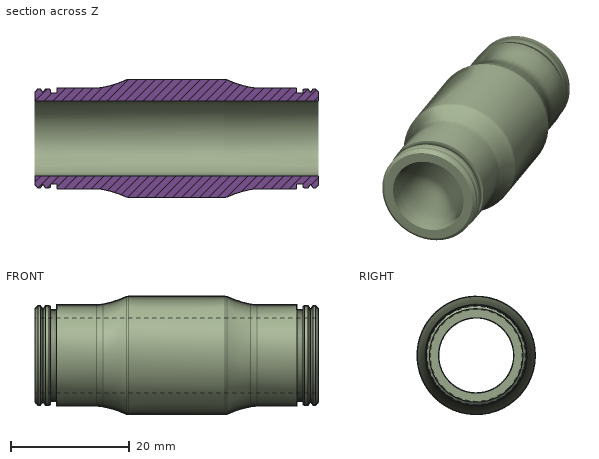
import cadquery as cq

length = 48.0
bore_radius = 6.35
body_radius = 10.05
neck_radius = 8.6
ring_radius = 8.45
end_face_radius = 7.9
valley_radius = 7.83
groove_radius = 7.8
ring_back_radius = 8.3

first_ring_start = 0.5
first_ring_end = 0.9
valley_position = 1.35
second_ring_start = 1.8
second_ring_end = 2.35
groove_start = 2.65
groove_end = 3.65
neck_end = 10.4
flare_start = 11.47
flare_end = 15.5
body_start = 15.85

flare_start_radius = 8.7
flare_end_radius = 10.0
flare_sag = 0.15
blend_sag = 0.015


def sagged_middle(start, end, sag):
    """Point midway between two profile points, moved toward the axis."""
    return ((start[0] + end[0]) / 2, (start[1] + end[1]) / 2 - sag)


def end_section():
    """Revolved end of the sleeve out to the body, with its end face at X = -length / 2."""
    end_x = -length / 2

    def point(distance, radius):
        return (end_x + distance, radius)

    neck_point = point(neck_end, neck_radius)
    flare_first = point(flare_start, flare_start_radius)
    flare_last = point(flare_end, flare_end_radius)

    profile = (
        cq.Workplane("XY")
        .moveTo(*point(0, bore_radius))
        .lineTo(*point(0, end_face_radius))
        .lineTo(*point(first_ring_start, ring_radius))
        .lineTo(*point(first_ring_end, ring_radius))
        .lineTo(*point(valley_position, valley_radius))
        .lineTo(*point(second_ring_start, ring_radius))
        .lineTo(*point(second_ring_end, ring_radius))
        .lineTo(*point(groove_start, ring_back_radius))
        .lineTo(*point(groove_start, groove_radius))
        .lineTo(*point(groove_end, groove_radius))
        .lineTo(*point(groove_end, neck_radius))
        .lineTo(*neck_point)
        .threePointArc(sagged_middle(neck_point, flare_first, blend_sag), flare_first)
        .threePointArc(sagged_middle(flare_first, flare_last, flare_sag), flare_last)
        .lineTo(*point(body_start, body_radius))
        .lineTo(*point(body_start, bore_radius))
        .close()
    )
    return profile.revolve(360, (0, 0, 0), (1, 0, 0))


def body_tube():
    """Plain tube between the two end sections."""
    return (
        cq.Workplane("YZ", origin=(body_start - length / 2, 0, 0))
        .circle(body_radius)
        .circle(bore_radius)
        .extrude(length - 2 * body_start)
    )


left_end = end_section()
right_end = left_end.mirror("YZ")
result = body_tube().union(left_end).union(right_end).clean()